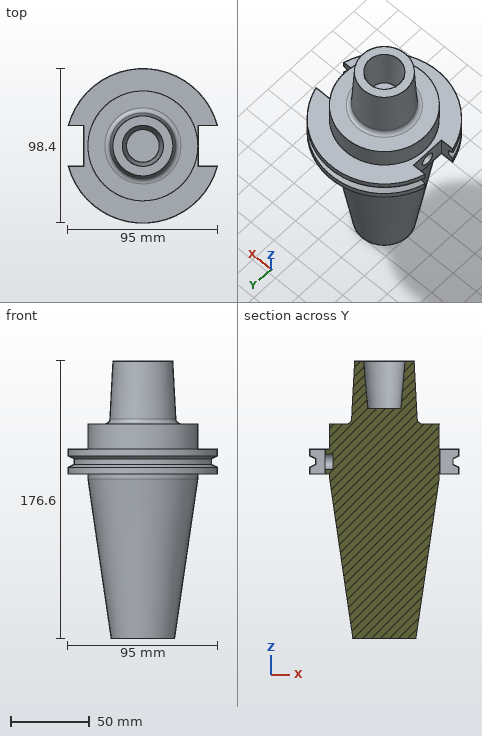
import cadquery as cq

total_height = 176.6
gauge_height = 101.5
flange_bottom = 104.7
flange_top = 120.6
collar_top = 136.7

shank_taper = 7 / 24
gauge_radius = 70.0 / 2
shank_end_radius = gauge_radius - shank_taper * gauge_height / 2

nose_top_radius = 19.0
nose_foot_radius = 21.0
foot_fillet_radius = 3.2

flange_radius = 98.4 / 2
groove_floor_radius = 45.5
groove_floor_width = 3.5
groove_mouth_width = 7.2
groove_centre = 112.7

slot_width = 25.8
left_slot_floor = 37.6
right_slot_floor = 35.3

bore_mouth_radius = 13.0
bore_floor_radius = 10.5
bore_depth = 30.0
cross_hole_diameter = 9.5
cross_hole_depth = 5.0


def revolved_body():
    """Shank, flange, collar and nose as one turned profile."""
    return (
        cq.Workplane("XZ")
        .lineTo(shank_end_radius, 0)
        .lineTo(gauge_radius, gauge_height)
        .lineTo(gauge_radius, flange_bottom)
        .lineTo(flange_radius, flange_bottom)
        .lineTo(flange_radius, groove_centre - groove_mouth_width / 2)
        .lineTo(groove_floor_radius, groove_centre - groove_floor_width / 2)
        .lineTo(groove_floor_radius, groove_centre + groove_floor_width / 2)
        .lineTo(flange_radius, groove_centre + groove_mouth_width / 2)
        .lineTo(flange_radius, flange_top)
        .lineTo(gauge_radius, flange_top)
        .lineTo(gauge_radius, collar_top)
        .lineTo(nose_foot_radius + foot_fillet_radius, collar_top)
        .radiusArc((nose_foot_radius, collar_top + foot_fillet_radius), foot_fillet_radius)
        .lineTo(nose_top_radius, total_height)
        .lineTo(0, total_height)
        .close()
        .revolve(360, (0, 0), (0, 1))
    )


def drive_slot(side, floor_distance):
    """Block open to the outside, on the -X (side = -1) or +X (side = 1) side."""
    length = flange_radius
    height = flange_top - flange_bottom
    return (
        cq.Workplane("XY")
        .box(length, slot_width, height, centered=(True, True, False))
        .translate((side * (floor_distance + length / 2), 0, flange_bottom))
    )


def nose_bore():
    """Tapered blind bore entering the top of the nose."""
    bore_bottom = total_height - bore_depth
    return (
        cq.Workplane("XZ", origin=(0, 0, bore_bottom))
        .lineTo(bore_floor_radius, 0)
        .lineTo(bore_mouth_radius, bore_depth)
        .lineTo(0, bore_depth)
        .close()
        .revolve(360, (0, 0), (0, 1))
    )


def cross_hole():
    """Blind hole in the floor of the -X drive slot."""
    hole_height = (flange_bottom + flange_top) / 2
    return (
        cq.Workplane("YZ", origin=(-left_slot_floor, 0, hole_height))
        .circle(cross_hole_diameter / 2)
        .extrude(cross_hole_depth)
    )


result = (
    revolved_body()
    .cut(drive_slot(-1, left_slot_floor))
    .cut(drive_slot(1, right_slot_floor))
    .cut(nose_bore())
    .cut(cross_hole())
)